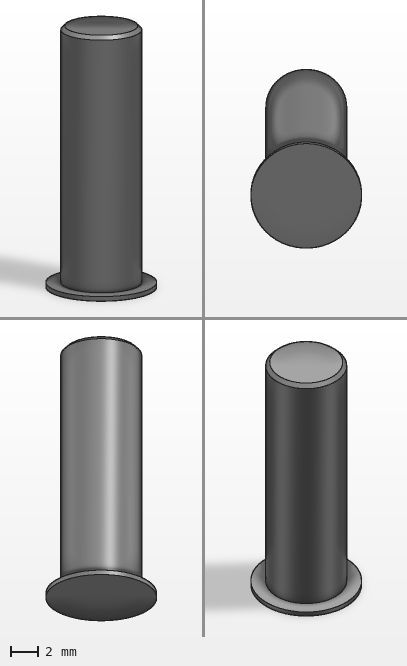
import cadquery as cq

total_height = 20.0
pin_diameter = 6.0
flange_diameter = 8.2
flange_thickness = 0.35
tip_chamfer = 0.3

flange = cq.Workplane("XY").circle(flange_diameter / 2).extrude(flange_thickness)

shank = (
    cq.Workplane("XY")
    .circle(pin_diameter / 2)
    .extrude(total_height)
    .faces(">Z")
    .chamfer(tip_chamfer)
)

result = flange.union(shank)